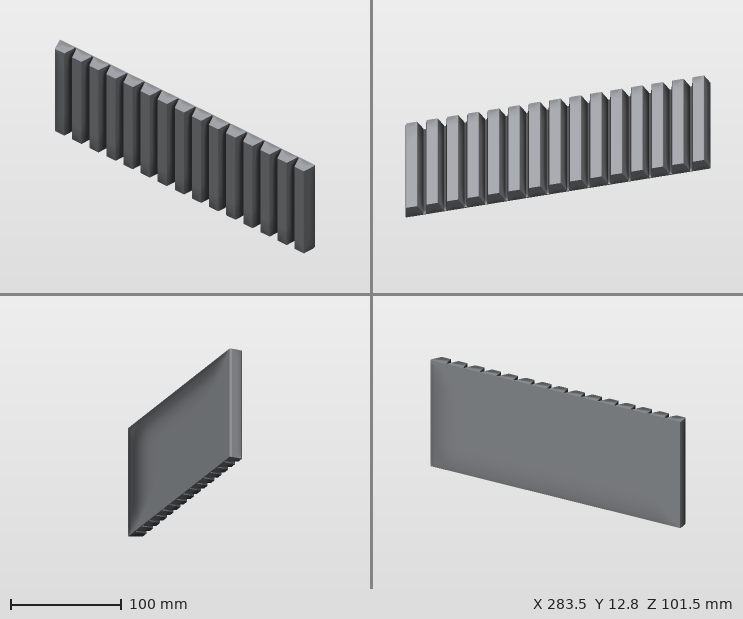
import cadquery as cq
import math

length = 283.5
depth = 12.8
height = 101.5

tooth_count = 15
tip_width = 10.5
flank_angle = 16.7
web_thickness = 1.0
tip_radius = 0.7

straight_depth = 2.3

back_y = depth / 2
tip_y = -depth / 2
web_y = back_y - web_thickness
shoulder_y = back_y - straight_depth

half_tip = tip_width / 2
half_base = half_tip + (depth - straight_depth) * math.tan(math.radians(flank_angle))

pitch = (length - 2 * half_base) / (tooth_count - 1)


def rack_outline():
    """Points of the toothed profile: a straight-sided base and a tapered tip for each tooth."""
    points = [(-length / 2, back_y)]
    for index in range(tooth_count):
        center_x = (index - (tooth_count - 1) / 2) * pitch
        if index > 0:
            points.append((center_x - half_base, web_y))
        points += [
            (center_x - half_base, shoulder_y),
            (center_x - half_tip, tip_y),
            (center_x + half_tip, tip_y),
            (center_x + half_base, shoulder_y),
        ]
        if index < tooth_count - 1:
            points.append((center_x + half_base, web_y))
    return points + [(length / 2, back_y)]


rack = cq.Workplane("XY").polyline(rack_outline()).close().extrude(height / 2, both=True)

result = rack.faces("<Y").edges("|Z").fillet(tip_radius)